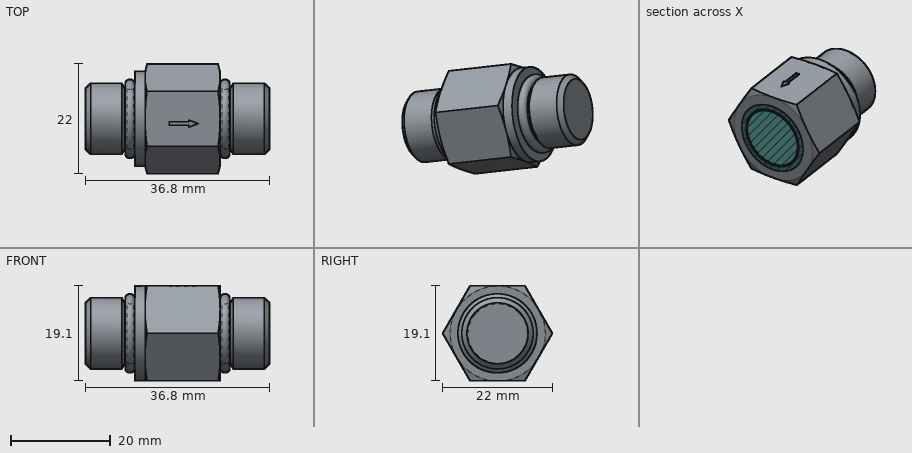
import cadquery as cq
import math


total_length = 36.83
collar_start = 9.9
hex_start = 11.95
hex_end = 26.92

across_flats = 19.05
hex_sides = 6
hex_chamfer_angle = 15.0

plug_diameter = 14.3
plug_tip_chamfer = 1.03
shoulder_angle = 60.0

ring_outer_diameter = 15.85
ring_section = 2.0
neck_diameter = 12.3
neck_length = 2.65

arrow_tail_x = 16.75
arrow_neck_x = 20.7
arrow_tip_x = 22.55
arrow_y = -0.95
arrow_shaft_width = 0.65
arrow_head_width = 1.4
arrow_depth = 0.1


def make_turned_core():
    """Both plugs, both necks and the collar, with a plain cylinder through the hexagon."""
    plug_radius = plug_diameter / 2
    tip_radius = plug_radius - plug_tip_chamfer
    neck_radius = neck_diameter / 2
    collar_radius = across_flats / 2
    shoulder_length = (plug_radius - neck_radius) / math.tan(math.radians(shoulder_angle))
    left_shoulder = collar_start - neck_length
    right_shoulder = hex_end + neck_length
    return (
        cq.Workplane("XY")
        .polyline([
            (0, 0),
            (0, tip_radius),
            (plug_tip_chamfer, plug_radius),
            (left_shoulder, plug_radius),
            (left_shoulder + shoulder_length, neck_radius),
            (collar_start, neck_radius),
            (collar_start, collar_radius),
            (hex_end, collar_radius),
            (hex_end, neck_radius),
            (right_shoulder - shoulder_length, neck_radius),
            (right_shoulder, plug_radius),
            (total_length - plug_tip_chamfer, plug_radius),
            (total_length, tip_radius),
            (total_length, 0),
        ])
        .close()
        .revolve(360, (0, 0), (1, 0))
    )


def make_hexagon():
    """Hexagon with flats facing +Z and -Z, its corners turned down by a cone at each end."""
    corner_diameter = across_flats / math.cos(math.pi / hex_sides)
    flat_radius = across_flats / 2
    corner_radius = corner_diameter / 2
    chamfer_length = (corner_radius - flat_radius) * math.tan(math.radians(hex_chamfer_angle))
    prism = (
        cq.Workplane("YZ", origin=(hex_start, 0, 0))
        .polygon(hex_sides, corner_diameter)
        .extrude(hex_end - hex_start)
    )
    envelope = (
        cq.Workplane("XY")
        .polyline([
            (hex_start, 0),
            (hex_start, flat_radius),
            (hex_start + chamfer_length, corner_radius),
            (hex_end - chamfer_length, corner_radius),
            (hex_end, flat_radius),
            (hex_end, 0),
        ])
        .close()
        .revolve(360, (0, 0), (1, 0))
    )
    return prism.intersect(envelope)


def make_arrow():
    """Shallow cutter for the flow arrow, pointing along +X."""
    half_shaft = arrow_shaft_width / 2
    half_head = arrow_head_width / 2
    return (
        cq.Workplane("XY", origin=(0, arrow_y, across_flats / 2))
        .polyline([
            (arrow_tail_x, -half_shaft),
            (arrow_neck_x, -half_shaft),
            (arrow_neck_x, -half_head),
            (arrow_tip_x, 0),
            (arrow_neck_x, half_head),
            (arrow_neck_x, half_shaft),
            (arrow_tail_x, half_shaft),
        ])
        .close()
        .extrude(-arrow_depth)
    )


def make_o_ring(center_x):
    ring_radius = (ring_outer_diameter - ring_section) / 2
    return (
        cq.Workplane("XY")
        .center(center_x, ring_radius)
        .circle(ring_section / 2)
        .revolve(360, (0, -ring_radius), (1, -ring_radius))
    )


def make_housing(rings):
    """One-piece fitting with the flow arrow and a shallow seat for each O-ring."""
    body = make_turned_core().union(make_hexagon()).cut(make_arrow())
    for ring in rings:
        body = body.cut(ring)
    return body.solids()


ring_centers = [collar_start - ring_section / 2, hex_end + ring_section / 2]
o_rings = [make_o_ring(center_x) for center_x in ring_centers]
housing = make_housing(o_rings)

result = cq.Compound.makeCompound([housing.val(), *[ring.val() for ring in o_rings]])